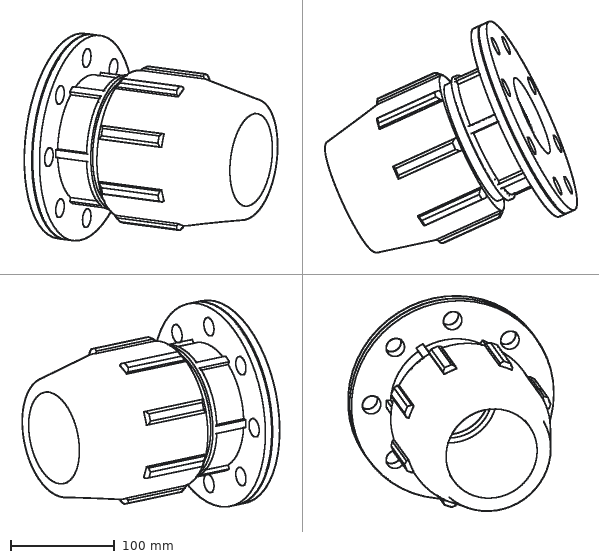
import cadquery as cq

total_length = 195.0

flange_dia = 200.0
flange_end = 16.5
rim_groove_start = 8.2
rim_groove_width = 0.8
rim_groove_depth = 2.0
bolt_count = 8
bolt_hole_dia = 18.0
bolt_circle_dia = 160.0

mouth_dia = 80.0
mouth_depth = 11.5
bore_dia = 90.0

neck_dia = 123.2
collar_dia = 131.0
collar_start = 49.2
collar_end = 54.5
collar_round = 1.8
spacer_count = 6
spacer_width = 7.5

nut_start = 64.5
nut_end = 133.0
nut_radius = 71.5
nose_radius = 59.2
nose_round = 3.8

grip_count = 8
grip_width = 13.2
grip_tip_radius = 76.5
grip_chamfer = 3.0
grip_end_setback = 2.2
grip_root_radius = 68.0


def disc(start, end, diameter):
    """Solid cylinder along X between two stations."""
    return cq.Workplane("YZ", origin=(start, 0, 0)).circle(diameter / 2).extrude(end - start)


def turn_about_axis(shape, angle):
    return shape.rotate((0, 0, 0), (1, 0, 0), angle)


def make_flange():
    flange = disc(0, flange_end, flange_dia)
    groove_end = rim_groove_start + rim_groove_width
    groove = disc(rim_groove_start, groove_end, flange_dia).cut(
        disc(rim_groove_start, groove_end, flange_dia - 2 * rim_groove_depth)
    )
    bolt_holes = (
        cq.Workplane("YZ")
        .polarArray(bolt_circle_dia / 2, 0, 360, bolt_count)
        .circle(bolt_hole_dia / 2)
        .extrude(flange_end)
    )
    return flange.cut(groove).cut(bolt_holes)


def make_neck():
    neck = disc(0, nut_start, neck_dia)
    collar = disc(collar_start, collar_end, collar_dia).faces("<X").edges().fillet(collar_round)
    spacer_end = collar_start + collar_round
    bars = cq.Workplane("YZ")
    for index in range(spacer_count // 2):
        bar = cq.Workplane("YZ").rect(collar_dia, spacer_width).extrude(spacer_end)
        bars = bars.add(turn_about_axis(bar, index * 360 / spacer_count))
    spacers = bars.combine().intersect(disc(0, spacer_end, collar_dia))
    return neck.union(collar).union(spacers)


def make_nut_body():
    """Cylinder followed by a tapered nose with a rounded end."""
    return (
        cq.Workplane("XY")
        .moveTo(nut_start, 0)
        .lineTo(nut_start, nut_radius)
        .lineTo(nut_end, nut_radius)
        .lineTo(total_length - nose_round, nose_radius)
        .radiusArc((total_length, nose_radius - nose_round), nose_round)
        .lineTo(total_length, 0)
        .close()
        .revolve(360, (0, 0, 0), (1, 0, 0))
    )


def make_grip():
    """One grip rib along +Y: a chamfered bar with sloping ends."""
    front_slope = grip_tip_radius - nut_radius
    side_shape = (
        cq.Workplane("XY")
        .polyline(
            [
                (nut_start, grip_root_radius),
                (nut_start, nut_radius),
                (nut_start + front_slope, grip_tip_radius),
                (nut_end - grip_end_setback, grip_tip_radius),
                (nut_end, nut_radius),
                (nut_end, grip_root_radius),
            ]
        )
        .close()
        .extrude(grip_width / 2, both=True)
    )
    half_width = grip_width / 2
    half_top = half_width - grip_chamfer
    shoulder_radius = grip_tip_radius - grip_chamfer
    cross_section = (
        cq.Workplane("YZ", origin=(nut_start, 0, 0))
        .polyline(
            [
                (grip_root_radius, -half_width),
                (shoulder_radius, -half_width),
                (grip_tip_radius, -half_top),
                (grip_tip_radius, half_top),
                (shoulder_radius, half_width),
                (grip_root_radius, half_width),
            ]
        )
        .close()
        .extrude(nut_end - nut_start)
    )
    return side_shape.intersect(cross_section)


def make_nut():
    nut = make_nut_body()
    grip = make_grip()
    pitch = 360 / grip_count
    for index in range(grip_count):
        nut = nut.union(turn_about_axis(grip, (index + 0.5) * pitch))
    return nut


result = (
    make_flange()
    .union(make_neck())
    .union(make_nut())
    .cut(disc(0, mouth_depth, mouth_dia))
    .cut(disc(mouth_depth, total_length, bore_dia))
)